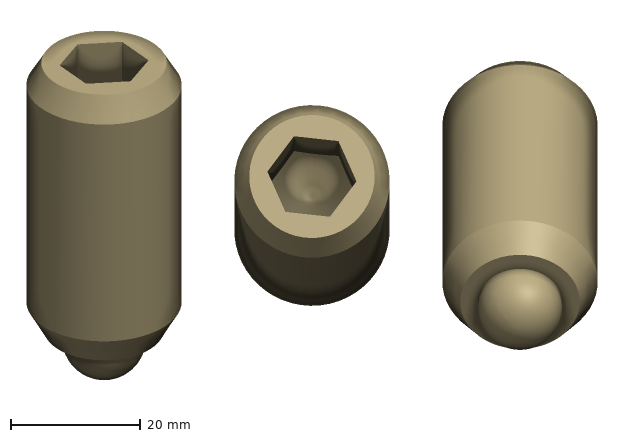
import cadquery as cq
import math

total_length = 56.0
body_diameter = 24.0
nose_projection = 8.0

top_face_diameter = 19.4
top_cone_height = 4.0
bottom_face_diameter = 18.5
bottom_cone_height = 5.05

socket_across_flats = 12.0
socket_depth = 12.0
socket_floor_angle = 120.0

pin_diameter = 13.0
pin_seat_depth = 8.0

body_radius = body_diameter / 2
pin_radius = pin_diameter / 2
body_bottom = nose_projection
pin_top = body_bottom + pin_seat_depth
socket_across_corners = socket_across_flats / math.cos(math.radians(30))
socket_corner_radius = socket_across_corners / 2
socket_floor_height = socket_corner_radius / math.tan(math.radians(socket_floor_angle / 2))


def make_blank():
    """Turned cylinder with a cone at each end."""
    profile = [
        (0, body_bottom),
        (bottom_face_diameter / 2, body_bottom),
        (body_radius, body_bottom + bottom_cone_height),
        (body_radius, total_length - top_cone_height),
        (top_face_diameter / 2, total_length),
        (0, total_length),
    ]
    return cq.Workplane("XZ").polyline(profile).close().revolve(360, (0, 0), (0, 1))


def make_socket():
    """Hexagonal recess, corners on X, ending in a cone that spans the corners."""
    floor_rim = total_length - socket_depth
    floor_tip = floor_rim - socket_floor_height
    hexagon = (
        cq.Workplane("XY", origin=(0, 0, floor_tip))
        .polygon(6, socket_across_corners)
        .extrude(total_length - floor_tip)
    )
    drill_profile = [
        (0, floor_tip),
        (socket_corner_radius, floor_rim),
        (socket_corner_radius, total_length),
        (0, total_length),
    ]
    drill = cq.Workplane("XZ").polyline(drill_profile).close().revolve(360, (0, 0), (0, 1))
    return hexagon.intersect(drill)


def make_pin_seat():
    """Blind bore that holds the plunger pin."""
    return (
        cq.Workplane("XY", origin=(0, 0, body_bottom))
        .circle(pin_radius)
        .extrude(pin_seat_depth)
    )


def make_body():
    return make_blank().cut(make_socket()).cut(make_pin_seat())


def make_pin():
    """Cylinder with a hemispherical nose."""
    arc_offset = pin_radius * math.sqrt(0.5)
    return (
        cq.Workplane("XZ")
        .moveTo(0, 0)
        .threePointArc((arc_offset, pin_radius - arc_offset), (pin_radius, pin_radius))
        .lineTo(pin_radius, pin_top)
        .lineTo(0, pin_top)
        .close()
        .revolve(360, (0, 0), (0, 1))
    )


body = make_body()
pin = make_pin()

result = cq.Compound.makeCompound([body.val(), pin.val()])